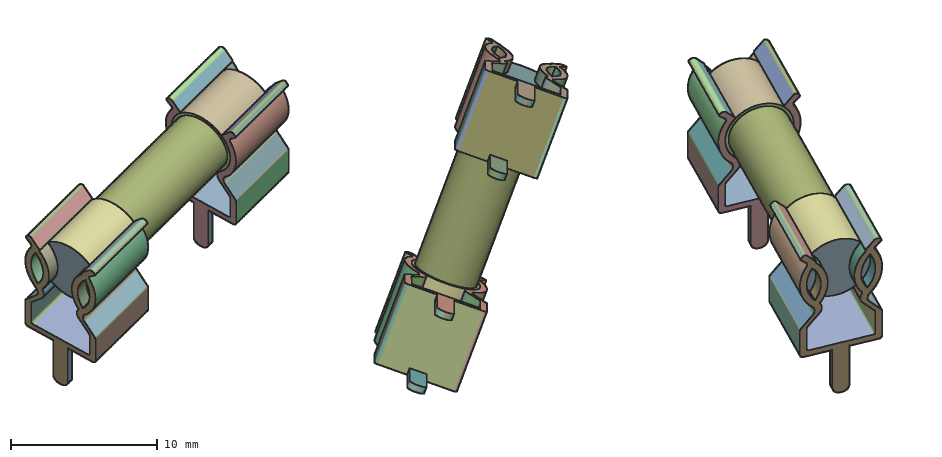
import cadquery as cq
import math


total_length = 22.0
clip_length = 6.0
sheet = 0.5

tube_diameter = 4.5
cap_diameter = 5.0
stop_depth = 1.0

cap_length = clip_length - stop_depth
tube_length = total_length - 2 * clip_length

jaw_inner_radius = cap_diameter / 2
jaw_outer_radius = jaw_inner_radius + sheet
jaw_waist_inner_angle = 245.2
jaw_waist_outer_angle = 235.4
jaw_flare_inner_angle = 134.0
jaw_flare_outer_angle = 142.7

lip_inner_tip = (-2.65, 2.8)
lip_outer_tip = (-3.0, 2.4)

base_bottom = -6.5
shoulder_outer_height = -3.95
shoulder_inner_height = -3.9
base_top = base_bottom + sheet
channel_inner_half = jaw_outer_radius - sheet

lip_outer_tip_radius = 0.1
flare_inner_radius = 0.15
waist_outer_radius = 0.5
waist_inner_radius = 0.68
shoulder_radius = 0.22
base_outer_radius = 0.26
base_inner_radius = 0.15

left_flare_outer_radius = 0.29
left_lip_inner_tip_radius = 0.2
right_flare_outer_radius = 0.15
right_lip_inner_tip_radius = 0.33

stop_centre = (-3.76, -0.26)
stop_outer_radius = 2.8
stop_inner_radius = stop_outer_radius - sheet

leg_width = 1.25
leg_length = 4.0
leg_tip_radius = 0.57


def on_circle(radius, angle):
    """Point in the XZ section at an angle measured from +X towards +Z."""
    turn = math.radians(angle)
    return (radius * math.cos(turn), radius * math.sin(turn))


def section_plane():
    """XZ plane at the clip's outer end; a negative extrusion goes into the clip."""
    return cq.Workplane("XZ", origin=(0, -total_length / 2, 0))


def make_spring_half(flare_outer_radius, lip_inner_tip_radius):
    """One half of the clip's constant section on the -X side, with its bends rounded."""
    base_outer = (-jaw_outer_radius, base_bottom)
    base_inner = (-channel_inner_half, base_top)
    shoulder_outer = (-jaw_outer_radius, shoulder_outer_height)
    shoulder_inner = (-channel_inner_half, shoulder_inner_height)
    waist_outer = on_circle(jaw_outer_radius, jaw_waist_outer_angle)
    waist_inner = on_circle(jaw_inner_radius, jaw_waist_inner_angle)
    flare_outer = on_circle(jaw_outer_radius, jaw_flare_outer_angle)
    flare_inner = on_circle(jaw_inner_radius, jaw_flare_inner_angle)

    half = (
        section_plane()
        .moveTo(0, base_bottom)
        .lineTo(*base_outer)
        .lineTo(*shoulder_outer)
        .lineTo(*waist_outer)
        .threePointArc((-jaw_outer_radius, 0), flare_outer)
        .lineTo(*lip_outer_tip)
        .lineTo(*lip_inner_tip)
        .lineTo(*flare_inner)
        .threePointArc((-jaw_inner_radius, 0), waist_inner)
        .lineTo(*shoulder_inner)
        .lineTo(*base_inner)
        .lineTo(0, base_top)
        .close()
        .extrude(-clip_length)
    )

    bends = [
        (base_outer, base_outer_radius),
        (base_inner, base_inner_radius),
        (shoulder_outer, shoulder_radius),
        (shoulder_inner, shoulder_radius),
        (waist_outer, waist_outer_radius),
        (waist_inner, waist_inner_radius),
        (flare_outer, flare_outer_radius),
        (flare_inner, flare_inner_radius),
        (lip_outer_tip, lip_outer_tip_radius),
        (lip_inner_tip, lip_inner_tip_radius),
    ]
    middle_y = (clip_length - total_length) / 2
    for (x, z), radius in bends:
        corner = cq.selectors.NearestToPointSelector((x, middle_y, z))
        half = half.edges("|Y").edges(corner).fillet(radius)
    return half


def make_stop_half():
    """Curved strip on the -X side, kept inside the outer face of the jaw."""
    strip = (
        section_plane()
        .center(*stop_centre)
        .circle(stop_outer_radius)
        .circle(stop_inner_radius)
        .extrude(-stop_depth)
    )
    jaw_disc = section_plane().circle(jaw_outer_radius).extrude(-stop_depth)
    return strip.intersect(jaw_disc)


def make_leg():
    """Round-tipped leg below the base, at the clip's outer end."""
    return (
        section_plane()
        .center(0, base_bottom - leg_length / 2)
        .rect(leg_width, leg_length)
        .extrude(-sheet)
        .edges("|Y and <Z")
        .fillet(leg_tip_radius)
    )


def make_clip():
    """Whole clip at the -Y end."""
    stop = make_stop_half()
    left = make_spring_half(left_flare_outer_radius, left_lip_inner_tip_radius).union(stop)
    right = make_spring_half(right_flare_outer_radius, right_lip_inner_tip_radius).union(stop)
    clip = left.union(right.mirror("YZ"))
    leg = make_leg()
    for offset in (0, clip_length - sheet):
        clip = clip.union(leg.translate((0, offset, 0)))
    return clip


def make_cap():
    """End cap of the fuse at the -Y end, lying against the end stops."""
    return (
        section_plane()
        .workplane(offset=-stop_depth)
        .circle(cap_diameter / 2)
        .extrude(-cap_length)
    )


def make_tube():
    """Fuse tube between the two caps."""
    return (
        section_plane()
        .workplane(offset=-clip_length)
        .circle(tube_diameter / 2)
        .extrude(-tube_length)
    )


bodies = [make_tube().val()]
clip = make_clip()
cap = make_cap()
for turn in (0, 180):
    for body in (clip, cap):
        bodies.append(body.rotate((0, 0, 0), (0, 0, 1), turn).val())

result = cq.Compound.makeCompound(bodies)